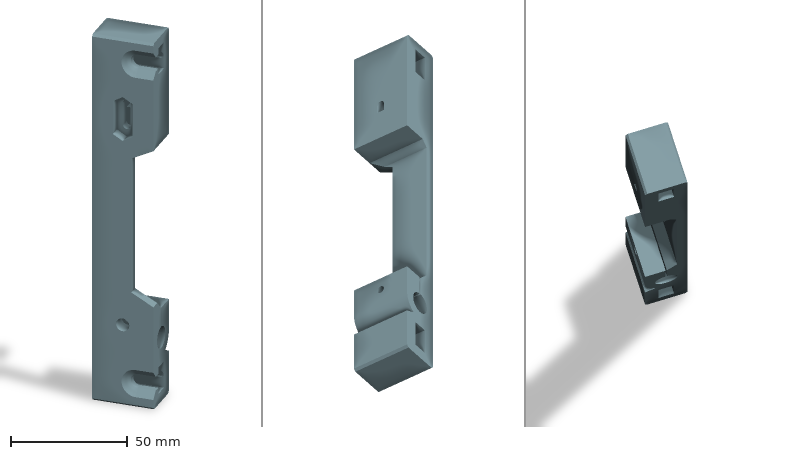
import cadquery as cq
import math

width = 28.0
depth = 19.0
height = 173.0
mid_x = width / 2
mid_y = depth / 2
end_chamfer = 1.0

neck_depth = 4.7
neck_width = 18.0
upper_block_bottom = 122.3
upper_back_chamfer = 3.0
lower_block_top = 44.3
upper_notch_inner = 117.2
lower_notch_outer = 48.6
lower_notch_inner = 54.0

bore_diameter = 10.0
bore_z = 30.3
slit_width = 0.5
jaw_radius = depth - mid_y
relief_tip_y = 14.2
relief_bottom_z = 19.9

screw_z = 38.0
screw_clearance_diameter = 6.0
screw_clearance_depth = 7.0
screw_thread_diameter = 3.5

nut_flats = 9.0
nut_pocket_depth = 5.0
adjust_z = 135.2
adjust_travel = 10.4
adjust_slot_width = 3.5
adjust_slot_depth = mid_y
adjust_opening_bottom = 136.6

channel_depth = 7.0
channel_height = 12.5
channel_centers = (11.2, 162.0)
open_slot_end_x = 19.9
open_slot_radius = 3.3
countersink_radius = 6.4
countersink_depth = 3.0
groove_width = 3.1
groove_length = 13.8
groove_wall = 0.2
groove_depth = 1.7


def box(x_start, x_end, y_start, y_end, z_start, z_end):
    """Box given by its limits along each axis."""
    size = (x_end - x_start, y_end - y_start, z_end - z_start)
    return cq.Workplane("XY").box(*size, centered=False).translate((x_start, y_start, z_start))


def front_plane(x, y, z):
    """Sketch plane facing -Y; positive extrusion goes toward -Y."""
    return cq.Workplane("XZ", origin=(x, y, z))


def side_profile():
    """Y-Z outline, extruded across the full width."""
    slit_front = mid_y - slit_width / 2
    lower_back_chamfer = slit_front - neck_depth
    tip_z = bore_z - math.sqrt(jaw_radius**2 - (relief_tip_y - mid_y) ** 2)
    arc_angle = math.atan2(tip_z - bore_z, relief_tip_y - mid_y) / 2
    arc_middle = (
        mid_y + jaw_radius * math.cos(arc_angle),
        bore_z + jaw_radius * math.sin(arc_angle),
    )
    return (
        cq.Workplane("YZ")
        .moveTo(end_chamfer, 0)
        .lineTo(depth - end_chamfer, 0)
        .lineTo(depth, end_chamfer)
        .lineTo(depth, relief_bottom_z)
        .lineTo(relief_tip_y, tip_z)
        .threePointArc(arc_middle, (depth, bore_z))
        .lineTo(depth, lower_block_top)
        .lineTo(slit_front, lower_block_top)
        .lineTo(neck_depth, lower_block_top + lower_back_chamfer)
        .lineTo(neck_depth, upper_block_bottom - upper_back_chamfer)
        .lineTo(neck_depth + upper_back_chamfer, upper_block_bottom)
        .lineTo(depth, upper_block_bottom)
        .lineTo(depth, height - end_chamfer)
        .lineTo(depth - end_chamfer, height)
        .lineTo(end_chamfer, height)
        .lineTo(0, height - end_chamfer)
        .lineTo(0, end_chamfer)
        .close()
        .extrude(width)
    )


def neck_notch():
    """Tapered notch that narrows the neck on the +X side."""
    corners = [
        (width, lower_notch_outer),
        (neck_width, lower_notch_inner),
        (neck_width, upper_notch_inner),
        (width, upper_block_bottom),
    ]
    return cq.Workplane("XZ").polyline(corners).close().extrude(-depth)


def clamp_cut():
    """Bore, slit and stepped screw hole of the clamp."""
    bore = cq.Workplane("YZ").center(mid_y, bore_z).circle(bore_diameter / 2).extrude(width)
    slit = box(0, width, mid_y - slit_width / 2, mid_y + slit_width / 2, bore_z, lower_block_top)
    screw = front_plane(mid_x, 0, screw_z)
    clearance = screw.circle(screw_clearance_diameter / 2).extrude(-screw_clearance_depth)
    thread = screw.circle(screw_thread_diameter / 2).extrude(-depth)
    return bore.union(slit).union(clearance).union(thread)


def adjusting_cut():
    """Elongated hexagonal nut pocket with a slot whose upper part goes through."""
    half_flats = nut_flats / 2
    corner_z = adjust_travel / 2 + nut_flats / math.sqrt(3) / 2
    tip_z = adjust_travel / 2 + nut_flats / math.sqrt(3)
    corners = [
        (0, tip_z),
        (half_flats, corner_z),
        (half_flats, -corner_z),
        (0, -tip_z),
        (-half_flats, -corner_z),
        (-half_flats, corner_z),
    ]
    plane = front_plane(mid_x, 0, adjust_z)
    pocket = plane.polyline(corners).close().extrude(-nut_pocket_depth)
    slot = plane.slot2D(adjust_travel + adjust_slot_width, adjust_slot_width, 90).extrude(-depth)
    step = box(0, width, adjust_slot_depth, depth, upper_block_bottom, adjust_opening_bottom)
    return pocket.union(slot.cut(step))


def channel_cut(center_z):
    """Channel along X with its countersunk slot open to +X and its rear groove."""
    channel = cq.Workplane("YZ").center(mid_y, center_z).rect(channel_depth, channel_height).extrude(width)
    sloped_profile = [
        (0, 0),
        (countersink_radius, 0),
        (open_slot_radius, countersink_depth),
        (open_slot_radius, mid_y),
        (0, mid_y),
    ]
    round_end = (
        cq.Workplane("XY", origin=(open_slot_end_x, 0, center_z))
        .polyline(sloped_profile)
        .close()
        .revolve(360, (0, 0), (0, 1))
    )
    straight_profile = [
        (0, -countersink_radius),
        (0, countersink_radius),
        (countersink_depth, open_slot_radius),
        (mid_y, open_slot_radius),
        (mid_y, -open_slot_radius),
        (countersink_depth, -open_slot_radius),
    ]
    straight = (
        cq.Workplane("YZ", origin=(open_slot_end_x, 0, center_z))
        .polyline(straight_profile)
        .close()
        .extrude(width - open_slot_end_x)
    )
    groove_center_x = width - groove_wall - groove_length / 2
    groove_end = mid_y + channel_depth / 2 + groove_depth
    groove = (
        front_plane(groove_center_x, groove_end, center_z)
        .slot2D(groove_length, groove_width)
        .extrude(groove_depth + channel_depth / 2)
    )
    return channel.union(round_end).union(straight).union(groove)


result = side_profile().cut(neck_notch()).cut(clamp_cut()).cut(adjusting_cut())
for channel_z in channel_centers:
    result = result.cut(channel_cut(channel_z))